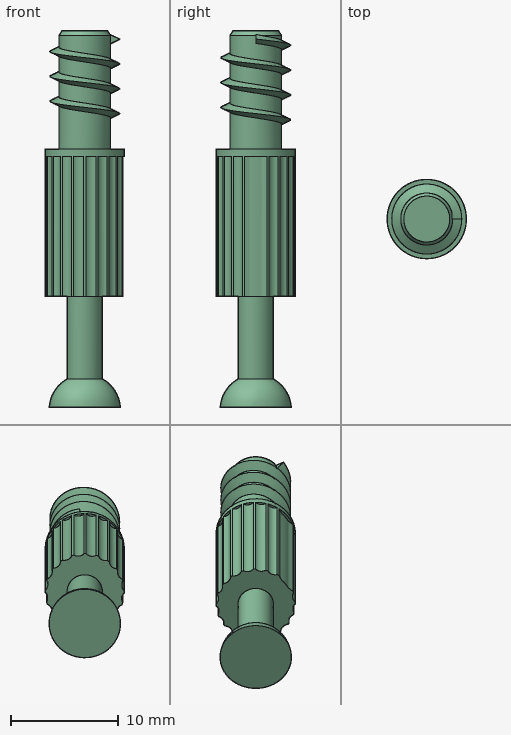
import cadquery as cq
import math


pin_length = 35.0
ball_base_radius = 3.32
ball_center_drop = 0.25
rod_radius = 1.65
shank_radius = 2.4
tip_chamfer_width = 0.28
tip_chamfer_height = 0.45

thread_radius = 3.25
thread_pitch = 2.3
thread_root_width = 0.8
thread_top = 34.23
thread_turns = 3.375
thread_embed = 0.1

sleeve_diameter = 7.4
sleeve_bottom = 10.32
sleeve_top = 24.0
collar_thickness = 0.7
rib_count = 20
rib_width = 0.2
flute_depth = 0.18

sleeve_radius = sleeve_diameter / 2
collar_bottom = sleeve_top - collar_thickness


def polar(radius, angle):
    """Point at a radius and an angle in radians."""
    return (radius * math.cos(angle), radius * math.sin(angle))


def make_thread():
    """Left-hand thread with a triangular section, ending on the +X side."""
    height = thread_turns * thread_pitch
    bottom = thread_top - height
    root_radius = shank_radius - thread_embed
    depth = thread_radius - shank_radius
    half_width = thread_root_width / 2 * (thread_radius - root_radius) / depth
    helix = cq.Wire.makeHelix(thread_pitch, height, root_radius, lefthand=True)
    profile = (
        cq.Workplane("XZ")
        .moveTo(root_radius, -half_width)
        .lineTo(thread_radius, 0)
        .lineTo(root_radius, half_width)
        .close()
    )
    start_angle = 360 * (thread_turns % 1)
    return (
        profile.sweep(cq.Workplane(obj=helix), isFrenet=True)
        .rotate((0, 0, 0), (0, 0, 1), start_angle)
        .translate((0, 0, bottom))
    )


def make_pin():
    """Ball end, rod, threaded shank and chamfered tip as one solid."""
    ball_radius = math.hypot(ball_base_radius, ball_center_drop)
    base_angle = math.asin(ball_center_drop / ball_radius)
    neck_angle = math.acos(rod_radius / ball_radius)
    middle_radius, middle_height = polar(ball_radius, (base_angle + neck_angle) / 2)
    neck_height = ball_radius * math.sin(neck_angle) - ball_center_drop
    body = (
        cq.Workplane("XZ")
        .lineTo(ball_base_radius, 0)
        .threePointArc((middle_radius, middle_height - ball_center_drop), (rod_radius, neck_height))
        .lineTo(rod_radius, sleeve_top)
        .lineTo(shank_radius, sleeve_top)
        .lineTo(shank_radius, pin_length - tip_chamfer_height)
        .lineTo(shank_radius - tip_chamfer_width, pin_length)
        .lineTo(0, pin_length)
        .close()
        .revolve(360, (0, 0, 0), (0, 1, 0))
    )
    return body.union(make_thread())


def make_sleeve():
    """Collar above a body with concave flutes, bored through for the rod."""
    rib_step = 2 * math.pi / rib_count
    half_rib = rib_width / sleeve_radius / 2
    valley_radius = sleeve_radius * math.cos(rib_step / 2 - half_rib) - flute_depth

    outline = cq.Workplane("XY").workplane(offset=sleeve_bottom)
    outline = outline.moveTo(*polar(sleeve_radius, rib_step - half_rib))
    for rib in range(1, rib_count):
        angle = rib * rib_step
        outline = outline.threePointArc(
            polar(sleeve_radius, angle), polar(sleeve_radius, angle + half_rib)
        )
        if rib < rib_count - 1:
            outline = outline.threePointArc(
                polar(valley_radius, angle + rib_step / 2),
                polar(sleeve_radius, angle + rib_step - half_rib),
            )

    outline = (
        outline.lineTo(*polar(valley_radius, -rib_step / 2))
        .threePointArc(polar(valley_radius, 0), polar(valley_radius, rib_step / 2))
        .close()
    )
    fluted_body = outline.extrude(collar_bottom - sleeve_bottom)
    collar = (
        cq.Workplane("XY")
        .workplane(offset=collar_bottom)
        .circle(sleeve_radius)
        .extrude(collar_thickness)
    )
    bore = (
        cq.Workplane("XY")
        .workplane(offset=sleeve_bottom)
        .circle(rod_radius)
        .extrude(sleeve_top - sleeve_bottom)
    )
    return fluted_body.union(collar).cut(bore)


pin = make_pin()
sleeve = make_sleeve()
result = cq.Compound.makeCompound([pin.val(), sleeve.val()])